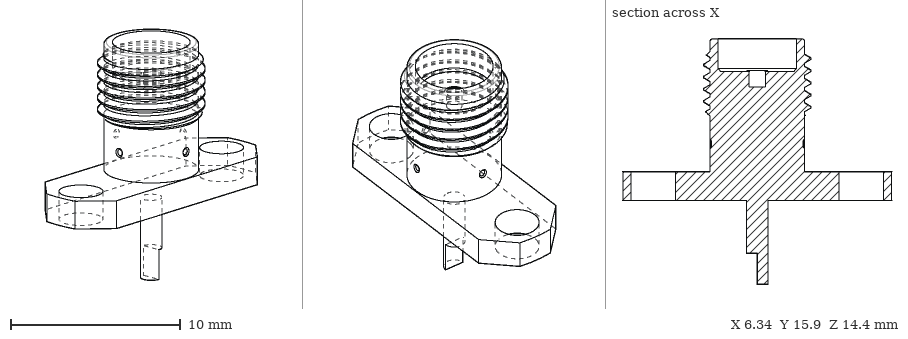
import cadquery as cq
import math


flange_length = 15.86
flange_width = 5.71
flange_thickness = 1.71
flange_end_width = 2.25
flange_side_half_length = 6.12
mount_hole_diameter = 2.59
mount_hole_offset = 6.1

barrel_radius = 5.58 / 2
barrel_top = 9.53
rim_fillet = 0.15

socket_diameter = 4.57
socket_depth = 1.92
floor_cone_height = 0.16
floor_diameter = 4.31
collar_diameter = 1.19
collar_height = 0.03
contact_bore_diameter = 0.94
contact_bore_depth = 0.95

thread_radius = 3.17
thread_pitch = 0.71
thread_bottom = 4.98
thread_top = 8.77
crest_width = 0.1
flank_angle = 30.0
thread_embed = 0.03
crest_height_at_minus_x = 5.31

dimple_diameter = 0.54
dimple_floor_diameter = 0.36
dimple_depth = 0.08
dimple_height = 3.35
dimple_count = 4

pin_diameter = 1.27
pin_length = 4.92
pin_flat_length = 1.82


def make_flange():
    """Elongated plate with angled corners, curved ends and two mounting holes."""
    side = flange_width / 2
    end = flange_end_width / 2
    end_radius = flange_length / 2
    corner = math.sqrt(end_radius**2 - end**2)
    plate = (
        cq.Workplane("XY")
        .moveTo(side, -flange_side_half_length)
        .lineTo(side, flange_side_half_length)
        .lineTo(end, corner)
        .threePointArc((0, end_radius), (-end, corner))
        .lineTo(-side, flange_side_half_length)
        .lineTo(-side, -flange_side_half_length)
        .lineTo(-end, -corner)
        .threePointArc((0, -end_radius), (end, -corner))
        .close()
        .extrude(flange_thickness)
    )
    hole_centers = [(0, -mount_hole_offset), (0, mount_hole_offset)]
    holes = (
        cq.Workplane("XY")
        .pushPoints(hole_centers)
        .circle(mount_hole_diameter / 2)
        .extrude(flange_thickness)
    )
    return plate.cut(holes)


def make_barrel():
    """Plain cylinder with a rounded top rim."""
    barrel = cq.Workplane("XY").circle(barrel_radius).extrude(barrel_top)
    return barrel.faces(">Z").edges().fillet(rim_fillet)


def make_thread():
    """Right-hand helical ridge, trimmed by a 45 degree lead at both ends."""
    root = barrel_radius - thread_embed
    half_crest = crest_width / 2
    half_root = half_crest + (thread_radius - root) * math.tan(math.radians(flank_angle))

    start = crest_height_at_minus_x - thread_pitch
    turns = math.ceil((thread_top - start) / thread_pitch) + 1
    helix = cq.Wire.makeHelix(thread_pitch, turns * thread_pitch, barrel_radius)
    ridge = (
        cq.Workplane("XZ")
        .polyline([
            (root, -half_root),
            (thread_radius, -half_crest),
            (thread_radius, half_crest),
            (root, half_root),
        ])
        .close()
        .sweep(cq.Workplane(obj=helix), isFrenet=True)
        .rotate((0, 0, 0), (0, 0, 1), 180)
        .translate((0, 0, start))
    )

    lead = thread_radius - barrel_radius
    envelope_radius = thread_radius + thread_embed
    envelope_lead = lead + thread_embed
    envelope = (
        cq.Workplane("XZ")
        .moveTo(0, thread_bottom)
        .lineTo(barrel_radius, thread_bottom)
        .lineTo(envelope_radius, thread_bottom + envelope_lead)
        .lineTo(envelope_radius, thread_top - envelope_lead)
        .lineTo(barrel_radius, thread_top)
        .lineTo(0, thread_top)
        .close()
        .revolve(360, (0, 0, 0), (0, 1, 0))
    )
    return ridge.intersect(envelope)


def make_socket():
    """Stepped cavity: bore, conical floor edge, contact collar and contact bore."""
    floor = barrel_top - socket_depth
    collar_top = floor + collar_height
    contact_radius = contact_bore_diameter / 2
    return (
        cq.Workplane("XZ")
        .moveTo(0, barrel_top)
        .lineTo(socket_diameter / 2, barrel_top)
        .lineTo(socket_diameter / 2, floor + floor_cone_height)
        .lineTo(floor_diameter / 2, floor)
        .lineTo(collar_diameter / 2, floor)
        .lineTo(collar_diameter / 2, collar_top)
        .lineTo(contact_radius, collar_top)
        .lineTo(contact_radius, collar_top - contact_bore_depth)
        .lineTo(0, collar_top - contact_bore_depth)
        .close()
        .revolve(360, (0, 0, 0), (0, 1, 0))
    )


def make_dimple(angle):
    """Shallow cone frustum that narrows towards the barrel axis."""
    dimple = cq.Solid.makeCone(
        dimple_diameter / 2,
        dimple_floor_diameter / 2,
        dimple_depth,
        cq.Vector(barrel_radius, 0, dimple_height),
        cq.Vector(-1, 0, 0),
    )
    return cq.Workplane(obj=dimple).rotate((0, 0, 0), (0, 0, 1), angle)


def make_pin():
    """Round pin whose tip is cut back to its -Y half."""
    pin = cq.Workplane("XY").circle(pin_diameter / 2).extrude(-pin_length)
    tip_cut = (
        cq.Workplane("XY")
        .box(pin_diameter, pin_diameter, pin_flat_length, centered=(True, False, False))
        .translate((0, 0, -pin_length))
    )
    return pin.cut(tip_cut)


result = make_flange().union(make_barrel()).union(make_thread())
result = result.cut(make_socket())
for index in range(dimple_count):
    result = result.cut(make_dimple(index * 360 / dimple_count))
result = result.union(make_pin())